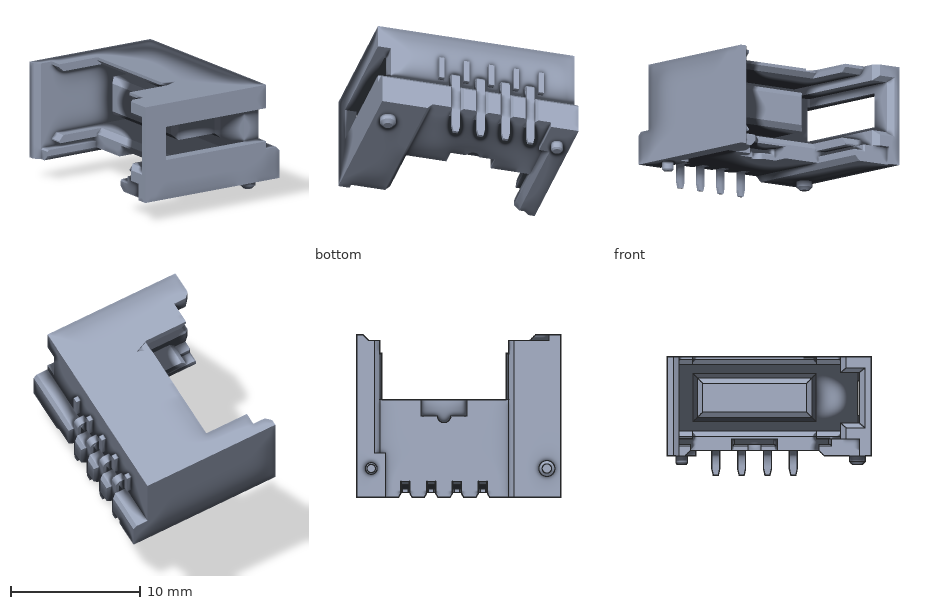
import cadquery as cq
import math


width = 15.8
depth = 12.6
height = 7.7
rear_step_depth = 1.23
rear_step_height = 2.55
rear_step_chamfer = 0.28
rear_wall_y = depth - rear_step_depth

left_wall = 0.92
cavity_floor = 1.95
cavity_ceiling = 7.08
cavity_right = 13.43
cavity_back = 10.0
side_bay_right = 14.88
window_x = 14.75
side_bay_bottom = 2.55
side_bay_top = 6.46
entry_chamfer = 0.43
entry_rise = 0.36
bay_corner_chamfer = side_bay_right - window_x

notch_left = 1.95
notch_right = 11.57
notch_y = 5.04
tongue_y = 1.44
rail_y = 0.45
roof_edge = 0.24
floor_edge = 1.5
edge_chamfer_run = 0.4

channel_bottom = 0.9
channel_top = 1.33
channel_right = 12.61
channel_chamfer = 0.13
tongue_relief = 0.08
rail_left_x = 1.79
rail_right_x = 11.75
underside_z = 0.41
rear_foot_x = 2.21
rear_foot_y = 9.16

pocket_left = 4.96
pocket_right = 8.53
pocket_recess = 1.26
clip_slot_margin = 0.13
clip_slot_depth = 0.95
clip_notch_x = 6.76
clip_notch_diameter = 1.03

window_y = 1.93
window_bottom = 3.15
window_top = 5.81

boss_y = 5.88
boss_left = 2.75
boss_right = 10.79
boss_bottom = 3.4
boss_top = 5.62
boss_chamfer = 0.41
boss_root_flare = 0.33

pin_count = 4
pin_span = 6.0
pin_pitch = pin_span / (pin_count - 1)
pin_first_x = 3.76
pin_width = 0.63
pin_thickness = 0.27
pin_top = 3.87
pin_bend_radius = 0.43
pin_rear_y = depth - 0.36
pin_tip_z = -1.5
pin_taper = 0.5
pin_tip_width = 0.4
pin_root = 0.63
pin_slot_width = 0.7
pin_slot_flare = 0.17
pin_slot_flare_depth = 0.28

rib_width = 0.43
rib_depth = 0.38
rib_bottom = pin_top - pin_thickness
rib_top = 5.44
support_foot = 0.24

peg_y = 10.36
peg_length = 0.68
left_peg_x = 1.12
left_peg_diameter = 0.9
left_peg_chamfer = 0.13
right_peg_x = 14.73
right_peg_diameter = 1.23
right_peg_chamfer = 0.25

mark_x = 11.06
mark_width = 0.95
mark_length = 1.03
mark_depth = 0.13


def box(x0, x1, y0, y1, z0, z1):
    return cq.Workplane("XY").box(x1 - x0, y1 - y0, z1 - z0, centered=False).translate((x0, y0, z0))


def along_x(points, x0, x1):
    """Extrude a (Y, Z) outline from x0 to x1."""
    return cq.Workplane("YZ").polyline(points).close().extrude(x1 - x0).translate((x0, 0, 0))


def along_z(points, z0, z1):
    """Extrude an (X, Y) outline from z0 to z1."""
    return cq.Workplane("XY").polyline(points).close().extrude(z1 - z0).translate((0, 0, z0))


def frustum(x0, x1, z0, z1, growth_x, growth_z, y0, y1):
    """Rectangle in XZ at y0 whose sides have all moved outward by the growths at y1."""
    center_x = (x0 + x1) / 2
    center_z = (z0 + z1) / 2
    return (
        cq.Workplane("XZ", origin=(center_x, y0, center_z))
        .rect(x1 - x0, z1 - z0)
        .workplane(offset=y0 - y1)
        .rect(x1 - x0 + 2 * growth_x, z1 - z0 + 2 * growth_z)
        .loft(ruled=True)
    )


def pin_positions():
    return [pin_first_x + i * pin_pitch for i in range(pin_count)]


def housing_block():
    outline = [
        (0, 0),
        (depth, 0),
        (depth, rear_step_height - rear_step_chamfer),
        (depth - rear_step_chamfer, rear_step_height),
        (rear_wall_y, rear_step_height),
        (rear_wall_y, height),
        (0, height),
    ]
    return along_x(outline, 0, width)


def cavity():
    main = box(left_wall, cavity_right, 0, cavity_back, cavity_floor, cavity_ceiling)
    side_bay = along_z(
        [
            (left_wall, 0),
            (side_bay_right, 0),
            (side_bay_right, cavity_back - bay_corner_chamfer),
            (side_bay_right - bay_corner_chamfer, cavity_back),
            (left_wall, cavity_back),
        ],
        side_bay_bottom,
        side_bay_top,
    )
    side_bay_entry = frustum(
        cavity_right - entry_chamfer,
        side_bay_right + entry_chamfer,
        side_bay_bottom - entry_rise,
        side_bay_top + entry_rise,
        -entry_chamfer,
        -entry_rise,
        0,
        entry_chamfer,
    )
    return main.union(side_bay).union(side_bay_entry)


def mouth_opening():
    """Clears the front between the side walls, with flared edges on both walls."""
    return along_z(
        [
            (left_wall - entry_chamfer, 0),
            (left_wall, entry_chamfer),
            (left_wall, tongue_y),
            (cavity_right, tongue_y),
            (cavity_right, entry_chamfer),
            (cavity_right + entry_chamfer, 0),
        ],
        channel_top,
        height,
    )


def edge_chamfers(y):
    """Lead-in chamfers on the roof and floor edges that face the mouth at depth y."""
    back = y + edge_chamfer_run
    roof = [(y, cavity_ceiling), (y, height - roof_edge), (back, cavity_ceiling)]
    floor = [(y, cavity_floor), (y, floor_edge), (back, cavity_floor)]
    return roof, floor


def cut_front_edges(body):
    body = body.cut(mouth_opening())
    body = body.cut(box(notch_left, notch_right, 0, notch_y, channel_top, height))
    spans = [
        (left_wall, notch_left, tongue_y),
        (notch_left, notch_right, notch_y),
        (notch_right, cavity_right, tongue_y),
    ]
    for x0, x1, y in spans:
        for outline in edge_chamfers(y):
            body = body.cut(along_x(outline, x0, x1))
    return body


def cut_underside(body):
    body = body.cut(box(left_wall, side_bay_right, 0, rail_y, 0, channel_top))
    left_tip = [(left_wall - entry_chamfer, 0), (left_wall, entry_chamfer), (left_wall, 0)]
    body = body.cut(along_z(left_tip, 0, channel_top))
    body = body.cut(box(rail_left_x, rail_right_x, 0, notch_y, 0, channel_top))
    recess = (
        cq.Workplane("XZ")
        .polyline(
            [
                (rail_left_x - underside_z, 0),
                (rail_left_x, underside_z),
                (rail_right_x, underside_z),
                (rail_right_x + underside_z, 0),
            ]
        )
        .close()
        .extrude(-depth)
    )
    rear_foot = box(0, rear_foot_x, rear_foot_y, depth, 0, underside_z)
    return body.cut(recess.cut(rear_foot))


def cut_clip_channels(body):
    lead_in = channel_chamfer
    profile = along_x(
        [
            (rail_y, channel_top),
            (rail_y, channel_bottom - lead_in),
            (rail_y + lead_in, channel_bottom),
            (notch_y, channel_bottom),
            (notch_y, channel_top),
            (tongue_y + tongue_relief, channel_top),
            (tongue_y, channel_top + tongue_relief),
            (tongue_y, channel_top),
        ],
        left_wall,
        channel_right + lead_in,
    )
    plan = along_z(
        [
            (left_wall, rail_y),
            (channel_right + lead_in, rail_y),
            (channel_right, rail_y + lead_in),
            (channel_right, tongue_y),
            (channel_right - lead_in, tongue_y + lead_in),
            (channel_right - lead_in, notch_y),
            (left_wall, notch_y),
        ],
        0,
        cavity_floor,
    )
    return body.cut(profile.intersect(plan))


def cut_clip_pocket(body):
    lead_in = channel_chamfer
    mouth_y = notch_y + pocket_recess
    end_y = mouth_y + clip_slot_depth
    mouth_left = pocket_left + clip_slot_margin
    mouth_right = pocket_right - clip_slot_margin
    recess = box(pocket_left, pocket_right, notch_y, mouth_y, 0, channel_top)
    profile = along_x(
        [
            (mouth_y, channel_top),
            (mouth_y, channel_bottom - lead_in),
            (mouth_y + lead_in, channel_bottom),
            (end_y, channel_bottom),
            (end_y, channel_top),
        ],
        mouth_left,
        mouth_right,
    )
    plan = along_z(
        [
            (mouth_left, mouth_y),
            (mouth_right, mouth_y),
            (mouth_right - lead_in, mouth_y + lead_in),
            (mouth_right - lead_in, end_y),
            (mouth_left + lead_in, end_y),
            (mouth_left + lead_in, mouth_y + lead_in),
        ],
        0,
        channel_top,
    )
    notch = (
        cq.Workplane("XY")
        .center(clip_notch_x, mouth_y)
        .circle(clip_notch_diameter / 2)
        .extrude(channel_bottom)
    )
    return body.cut(recess).cut(profile.intersect(plan)).cut(notch)


def window():
    return box(window_x, width, window_y, rear_wall_y, window_bottom, window_top)


def plug_boss():
    shank_left = boss_left - boss_chamfer
    shank_right = boss_right + boss_chamfer
    shank_bottom = boss_bottom - boss_chamfer
    shank_top = boss_top + boss_chamfer
    shank_y = boss_y + boss_chamfer
    nose = frustum(
        boss_left, boss_right, boss_bottom, boss_top, boss_chamfer, boss_chamfer, boss_y, shank_y
    )
    shank = box(shank_left, shank_right, shank_y, cavity_back, shank_bottom, shank_top)
    root = frustum(
        shank_left,
        shank_right,
        shank_bottom,
        shank_top,
        boss_root_flare,
        boss_root_flare,
        cavity_back - boss_root_flare,
        cavity_back,
    )
    return nose.union(shank).union(root)


def pin_slot(x):
    half = pin_slot_width / 2
    flare = half + pin_slot_flare
    flare_y = depth - pin_slot_flare_depth
    outline = [
        (x - half, rear_wall_y),
        (x + half, rear_wall_y),
        (x + half, flare_y),
        (x + flare, depth),
        (x - flare, depth),
        (x - half, flare_y),
    ]
    return along_z(outline, 0, rear_step_height)


def pin(x):
    inner_radius = pin_bend_radius - pin_thickness
    front_y = pin_rear_y - pin_thickness
    bend_y = pin_rear_y - pin_bend_radius
    bend_z = pin_top - pin_bend_radius
    diagonal = math.sqrt(0.5)
    bent_strip = (
        cq.Workplane("YZ", origin=(x - pin_width / 2, 0, 0))
        .moveTo(rear_wall_y - pin_root, pin_top)
        .lineTo(bend_y, pin_top)
        .threePointArc(
            (bend_y + pin_bend_radius * diagonal, bend_z + pin_bend_radius * diagonal),
            (pin_rear_y, bend_z),
        )
        .lineTo(pin_rear_y, pin_tip_z)
        .lineTo(front_y, pin_tip_z)
        .lineTo(front_y, bend_z)
        .threePointArc(
            (bend_y + inner_radius * diagonal, bend_z + inner_radius * diagonal),
            (bend_y, pin_top - pin_thickness),
        )
        .lineTo(rear_wall_y - pin_root, pin_top - pin_thickness)
        .close()
        .extrude(pin_width)
    )
    half = pin_width / 2
    tip_half = pin_tip_width / 2
    blade = (
        cq.Workplane("XZ", origin=(x, 0, 0))
        .polyline(
            [
                (-tip_half, pin_tip_z),
                (tip_half, pin_tip_z),
                (half, pin_tip_z + pin_taper),
                (half, pin_top),
                (-half, pin_top),
                (-half, pin_tip_z + pin_taper),
            ]
        )
        .close()
        .extrude(-depth)
    )
    return bent_strip.intersect(blade)


def pin_support(x):
    """Sloping web that carries the pin from the rear wall out to its bend."""
    front_y = pin_rear_y - pin_thickness
    bend_z = pin_top - pin_bend_radius
    outline = [
        (rear_wall_y, rear_step_height),
        (rear_wall_y + support_foot, rear_step_height),
        (front_y, bend_z),
        (pin_rear_y - pin_bend_radius, rib_bottom),
        (rear_wall_y, rib_bottom),
    ]
    return along_x(outline, x - pin_width / 2, x + pin_width / 2)


def rib(x):
    return box(
        x - rib_width / 2, x + rib_width / 2, rear_wall_y, rear_wall_y + rib_depth, rib_bottom, rib_top
    )


def peg(x, diameter, chamfer):
    return (
        cq.Workplane("XY", origin=(x, peg_y, -peg_length))
        .circle(diameter / 2)
        .extrude(peg_length)
        .faces("<Z")
        .chamfer(chamfer)
    )


def pin_one_mark():
    outline = [
        (mark_x - mark_width / 2, notch_y),
        (mark_x + mark_width / 2, notch_y),
        (mark_x, notch_y + mark_length),
    ]
    return along_z(outline, height - mark_depth, height)


body = housing_block().cut(cavity())
body = cut_front_edges(body)
body = cut_underside(body)
body = cut_clip_channels(body)
body = cut_clip_pocket(body)
body = body.cut(window()).cut(pin_one_mark())
body = body.union(plug_boss())

for pin_x in pin_positions():
    body = body.cut(pin_slot(pin_x))
    body = body.union(pin_support(pin_x)).union(pin(pin_x))

for gap in range(pin_count + 1):
    body = body.union(rib(pin_first_x + (gap - 0.5) * pin_pitch))

body = body.union(peg(left_peg_x, left_peg_diameter, left_peg_chamfer))
body = body.union(peg(right_peg_x, right_peg_diameter, right_peg_chamfer))

result = body